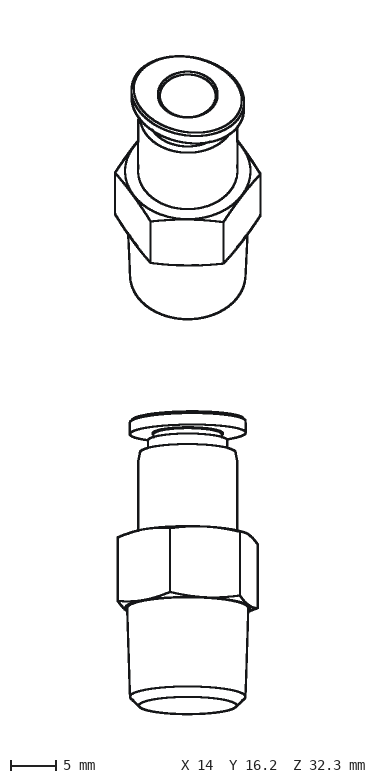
import cadquery as cq
import math

total_height = 32.25
thread_chamfer = 1.0
hex_bottom = 11.0
hex_height = 8.0
hex_top = hex_bottom + hex_height
body_taper_start = 27.5
body_top = 28.55
sleeve_top = 29.9
collar_thickness = 1.55
collar_bottom = total_height - collar_thickness

thread_top_radius = 6.75
taper_per_side = 1 / 32
thread_end_radius = thread_top_radius - taper_per_side * (hex_bottom - thread_chamfer)

hex_across_flats = 14.0
hex_corner_radius = hex_across_flats / math.sqrt(3)
hex_face_radius = 6.95
hex_chamfer_angle = 20.0
hex_chamfer_drop = (hex_corner_radius - hex_face_radius) * math.tan(math.radians(hex_chamfer_angle))

body_radius = 5.5
body_top_radius = 5.32
sleeve_radius = 4.42
neck_radius = 3.8
neck_flare = 0.1

collar_length_x = 13.0
collar_width_y = 11.0
collar_edge_chamfer = 0.25

bore_radius = 3.1
bore_depth = 16.12
bore_mouth_chamfer = 0.23


def make_turned_body():
    """Thread, core, upper body, sleeve and flared neck as one revolved profile."""
    profile = (
        cq.Workplane("XZ")
        .lineTo(thread_end_radius - thread_chamfer, 0)
        .lineTo(thread_end_radius, thread_chamfer)
        .lineTo(thread_top_radius, hex_bottom)
        .lineTo(body_radius, hex_bottom)
        .lineTo(body_radius, body_taper_start)
        .lineTo(body_top_radius, body_top)
        .lineTo(sleeve_radius, body_top)
        .lineTo(sleeve_radius, sleeve_top)
        .lineTo(neck_radius, sleeve_top)
        .lineTo(neck_radius, collar_bottom - neck_flare)
        .lineTo(neck_radius + neck_flare, collar_bottom)
        .lineTo(0, collar_bottom)
        .close()
    )
    return profile.revolve(360, (0, 0, 0), (0, 1, 0))


def make_hexagon():
    """Hexagonal prism whose corners are cut by a cone at both ends."""
    prism = (
        cq.Workplane("XY")
        .workplane(offset=hex_bottom)
        .polygon(6, 2 * hex_corner_radius)
        .extrude(hex_height)
        .rotate((0, 0, 0), (0, 0, 1), 90)
    )
    corner_cones = (
        cq.Workplane("XZ")
        .moveTo(0, hex_bottom)
        .lineTo(hex_face_radius, hex_bottom)
        .lineTo(hex_corner_radius, hex_bottom + hex_chamfer_drop)
        .lineTo(hex_corner_radius, hex_top - hex_chamfer_drop)
        .lineTo(hex_face_radius, hex_top)
        .lineTo(0, hex_top)
        .close()
        .revolve(360, (0, 0, 0), (0, 1, 0))
    )
    return prism.intersect(corner_cones)


def make_collar():
    """Elliptical release collar with a chamfered upper rim."""
    return (
        cq.Workplane("XY")
        .workplane(offset=collar_bottom)
        .ellipse(collar_length_x / 2, collar_width_y / 2)
        .extrude(collar_thickness)
        .faces(">Z")
        .edges()
        .chamfer(collar_edge_chamfer)
    )


def make_bore():
    """Blind cylinder with a flared mouth, to be cut from the top."""
    bore_floor = total_height - bore_depth
    return (
        cq.Workplane("XZ")
        .moveTo(0, bore_floor)
        .lineTo(bore_radius, bore_floor)
        .lineTo(bore_radius, total_height - bore_mouth_chamfer)
        .lineTo(bore_radius + bore_mouth_chamfer, total_height)
        .lineTo(0, total_height)
        .close()
        .revolve(360, (0, 0, 0), (0, 1, 0))
    )


result = make_turned_body().union(make_hexagon()).union(make_collar()).cut(make_bore())